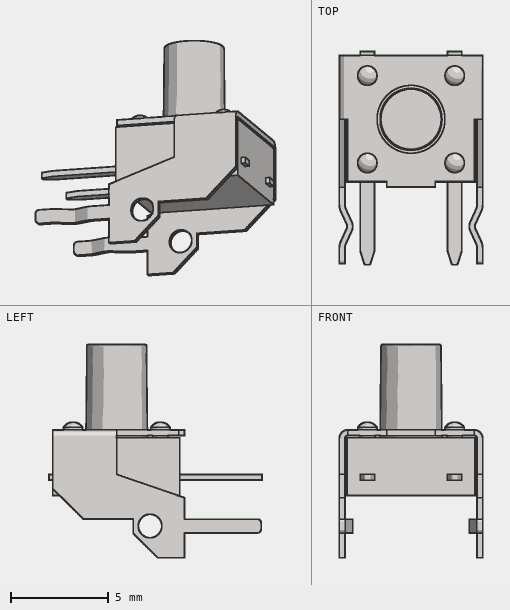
import cadquery as cq
import math


body_width = 6.6
body_front_y = -3.25
rear_y = 3.3
body_height = 3.0

button_base_diameter = 3.2
button_top_diameter = 3.1
button_top_z = 7.8
button_edge_radius = 0.1

sheet = 0.3
bracket_width = 7.4
bracket_top_z = 3.4
bend_radius = 0.45
plate_front_y = -3.2
front_y = -3.5
tab_width = 2.5
button_hole_diameter = 3.5

leg_bottom_z = -3.2
shoulder_z = -1.2
leg_notch_z = 1.1
leg_front_top_z = -0.1
rear_corner_z = 0.36
rear_corner_foot_y = 1.72
foot_rear_y = -0.85
foot_corner_z = -1.95
foot_bottom_rear_y = -2.12
leg_hole_diameter = 1.2
leg_hole_y = -1.72

tail_height = 0.72
tail_end_y = -7.45
tail_corner_radius = 0.2
kink_y = -5.52
kink_half_length = 0.94
kink_depth = 0.43
kink_radius = 0.25
bend_inner_radius = 0.5

pin_spacing = 4.5
pin_width = 0.74
pin_thickness = 0.3
pin_bottom_z = 0.8
pin_rear_y = 3.5
pin_tip_y = -7.5
pin_taper_length = 0.7
pin_tip_width = 0.3
pin_tip_radius = 0.1

rivet_spacing = 4.5
rivet_shank_diameter = 0.8
rivet_head_diameter = 1.0
rivet_rim_height = 0.12
rivet_dome_height = 0.28

outer_x = bracket_width / 2
plate_bottom_z = bracket_top_z - sheet
flat_half_width = outer_x - bend_radius


def box(x_min, x_max, y_min, y_max, z_min, z_max):
    size = (x_max - x_min, y_max - y_min, z_max - z_min)
    return cq.Workplane("XY").box(*size, centered=False).translate((x_min, y_min, z_min))


def make_body():
    half_width = body_width / 2
    return box(-half_width, half_width, body_front_y, rear_y, 0, body_height)


def make_button():
    button = (
        cq.Workplane("XY", origin=(0, 0, body_height))
        .circle(button_base_diameter / 2)
        .workplane(offset=button_top_z - body_height)
        .circle(button_top_diameter / 2)
        .loft(ruled=True)
    )
    return button.faces(">Z").edges().fillet(button_edge_radius)


def make_top_plate():
    plate = box(-flat_half_width, flat_half_width, plate_front_y, rear_y, plate_bottom_z, bracket_top_z)
    tab = box(-tab_width / 2, tab_width / 2, front_y, plate_front_y, plate_bottom_z, bracket_top_z)
    hole = (
        cq.Workplane("XY", origin=(0, 0, plate_bottom_z))
        .circle(button_hole_diameter / 2)
        .extrude(sheet)
    )
    return plate.union(tab).cut(hole)


def make_left_bend():
    """Quarter-round bend joining the plate to the left leg, on the rear half only."""
    center_z = bracket_top_z - bend_radius
    inner_radius = bend_radius - sheet
    diagonal = math.sqrt(0.5)

    def on_bend(radius):
        return (-flat_half_width - radius * diagonal, center_z + radius * diagonal)

    return (
        cq.Workplane("XZ")
        .moveTo(-flat_half_width, bracket_top_z)
        .threePointArc(on_bend(bend_radius), (-outer_x, center_z))
        .lineTo(-outer_x + sheet, center_z)
        .threePointArc(on_bend(inner_radius), (-flat_half_width, plate_bottom_z))
        .close()
        .extrude(-rear_y)
    )


def make_left_leg():
    outline = [
        (rear_y, bracket_top_z - bend_radius),
        (rear_y, rear_corner_z),
        (rear_corner_foot_y, shoulder_z),
        (foot_rear_y, shoulder_z),
        (foot_rear_y, foot_corner_z),
        (foot_bottom_rear_y, leg_bottom_z),
        (front_y, leg_bottom_z),
        (front_y, leg_front_top_z),
        (0, leg_notch_z),
        (0, bracket_top_z - bend_radius),
    ]
    plane = cq.Workplane("YZ", origin=(-outer_x, 0, 0))
    leg = plane.polyline(outline).close().extrude(sheet)
    hole_z = shoulder_z - tail_height / 2
    hole = plane.center(leg_hole_y, hole_z).circle(leg_hole_diameter / 2).extrude(sheet)
    return leg.cut(hole)


def make_left_tail():
    """Strip bent inward to a rounded peak and back out, with a rounded end."""
    slope = math.atan2(kink_depth, kink_half_length)
    miter = sheet * math.tan(slope / 2)
    inner_x = -outer_x + sheet
    kink_start_y = kink_y + kink_half_length
    kink_end_y = kink_y - kink_half_length
    outer_valley = (-outer_x + kink_depth, kink_y)
    inner_peak = (outer_valley[0] + sheet / math.cos(slope), kink_y)
    outer_bends = [(-outer_x, kink_start_y), (-outer_x, kink_end_y)]
    inner_bends = [(inner_x, kink_start_y + miter), (inner_x, kink_end_y - miter)]
    outline = [
        (-outer_x, front_y),
        outer_bends[0],
        outer_valley,
        outer_bends[1],
        (-outer_x, tail_end_y),
        (inner_x, tail_end_y),
        inner_bends[1],
        inner_peak,
        inner_bends[0],
        (inner_x, front_y),
    ]
    tail_bottom_z = shoulder_z - tail_height
    tail = (
        cq.Workplane("XY", origin=(0, 0, tail_bottom_z))
        .polyline(outline)
        .close()
        .extrude(tail_height)
    )

    def round_corners(solid, corners, radius):
        for x, y in corners:
            middle = (x, y, tail_bottom_z + tail_height / 2)
            solid = solid.edges(cq.NearestToPointSelector(middle)).fillet(radius)
        return solid

    tail = round_corners(tail, outer_bends, bend_inner_radius + sheet)
    tail = round_corners(tail, inner_bends, bend_inner_radius)
    tail = round_corners(tail, [outer_valley], kink_radius)
    tail = round_corners(tail, [inner_peak], kink_radius + sheet)
    return tail.faces("<Y").edges("|X").fillet(tail_corner_radius)


def make_bracket():
    left_side = make_left_bend().union(make_left_leg()).union(make_left_tail())
    right_side = left_side.mirror("YZ")
    return make_top_plate().union(left_side).union(right_side)


def make_pin():
    """Flat pin centered on X = 0 that passes through the body and tapers to its tip."""
    half_width = pin_width / 2
    half_tip = pin_tip_width / 2
    taper_y = pin_tip_y + pin_taper_length
    outline = [
        (-half_width, pin_rear_y),
        (-half_width, taper_y),
        (-half_tip, pin_tip_y),
        (half_tip, pin_tip_y),
        (half_width, taper_y),
        (half_width, pin_rear_y),
    ]
    pin = (
        cq.Workplane("XY", origin=(0, 0, pin_bottom_z))
        .polyline(outline)
        .close()
        .extrude(pin_thickness)
    )
    return pin.faces("<Y").edges("|Z").fillet(pin_tip_radius)


def make_rivet():
    """Rivet on the Z axis: shank up from the body, short rim and domed head on the plate."""
    shank_radius = rivet_shank_diameter / 2
    head_radius = rivet_head_diameter / 2
    rim_z = bracket_top_z + rivet_rim_height
    dome_radius = (head_radius**2 + rivet_dome_height**2) / (2 * rivet_dome_height)
    dome_top_z = rim_z + rivet_dome_height
    dome_center_z = dome_top_z - dome_radius
    half_angle = math.asin(head_radius / dome_radius) / 2
    dome_middle = (
        dome_radius * math.sin(half_angle),
        dome_center_z + dome_radius * math.cos(half_angle),
    )
    return (
        cq.Workplane("XZ")
        .moveTo(0, body_height)
        .lineTo(shank_radius, body_height)
        .lineTo(shank_radius, bracket_top_z)
        .lineTo(head_radius, bracket_top_z)
        .lineTo(head_radius, rim_z)
        .threePointArc(dome_middle, (0, dome_top_z))
        .close()
        .revolve(360, (0, 0, 0), (0, 1, 0))
    )


result = make_body().union(make_button()).union(make_bracket())
for side in (-1, 1):
    result = result.union(make_pin().translate((side * pin_spacing / 2, 0, 0)))
    for end in (-1, 1):
        rivet_center = (side * rivet_spacing / 2, end * rivet_spacing / 2, 0)
        result = result.union(make_rivet().translate(rivet_center))